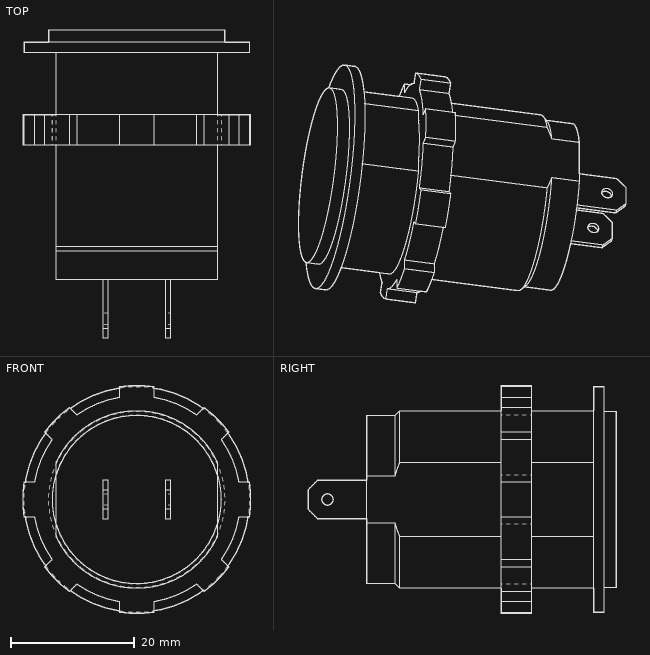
import cadquery as cq


OVERALL_LENGTH = 50.0
RIM_DEPTH = 2.0
FLANGE_THICKNESS = 1.7
BODY_LENGTH = 36.8
NOSE_LENGTH = 4.6
TERMINAL_LENGTH = OVERALL_LENGTH - RIM_DEPTH - FLANGE_THICKNESS - BODY_LENGTH

RIM_RADIUS = 14.3
FLANGE_RADIUS = 18.3
BODY_RADIUS = 14.4
NOSE_RADIUS = 13.65
FLAT_WIDTH = 26.2
SHOULDER = BODY_RADIUS - NOSE_RADIUS

BLADE_THICKNESS = 0.85
BLADE_HEIGHT = 6.25
BLADE_SPACING = 10.1
BLADE_CORNER = 1.55
BLADE_HOLE_DIAMETER = 1.8
BLADE_HOLE_SETBACK = 3.15

NUT_THICKNESS = 4.95
NUT_SETBACK = 10.05
NUT_BORE_RADIUS = 13.7
NUT_ROOT_RADIUS = 16.8
NUT_LOBE_RADIUS = 18.5
LOBE_WIDTH = 5.65
LOBE_COUNT = 8


def disc(radius, front_y, length):
    """Cylinder on the Y axis that runs from front_y toward -Y."""
    return cq.Workplane("XZ", origin=(0, front_y, 0)).circle(radius).extrude(length)


def make_body():
    """Barrel with a nut seat, a bevelled shoulder, a nose and two side flats."""
    nose_y = NOSE_LENGTH - BODY_LENGTH
    nut_front_y = -NUT_SETBACK
    nut_back_y = nut_front_y - NUT_THICKNESS
    barrel = (
        cq.Workplane("XY")
        .lineTo(BODY_RADIUS, 0)
        .lineTo(BODY_RADIUS, nut_front_y)
        .lineTo(NUT_BORE_RADIUS, nut_front_y)
        .lineTo(NUT_BORE_RADIUS, nut_back_y)
        .lineTo(BODY_RADIUS, nut_back_y)
        .lineTo(BODY_RADIUS, nose_y + SHOULDER)
        .lineTo(NOSE_RADIUS, nose_y)
        .lineTo(NOSE_RADIUS, -BODY_LENGTH)
        .lineTo(0, -BODY_LENGTH)
        .close()
        .revolve(360, (0, 0, 0), (0, 1, 0))
    )
    between_flats = cq.Workplane("XZ").rect(FLAT_WIDTH, 2 * BODY_RADIUS).extrude(BODY_LENGTH)
    return barrel.intersect(between_flats)


def make_blade(center_x):
    """Flat terminal with two clipped tip corners and a cross hole."""
    tip_y = -BODY_LENGTH - TERMINAL_LENGTH
    blade = (
        cq.Workplane("XY")
        .box(BLADE_THICKNESS, TERMINAL_LENGTH, BLADE_HEIGHT, centered=(True, False, True))
        .faces("<Y")
        .edges("|X")
        .chamfer(BLADE_CORNER)
        .translate((center_x, tip_y, 0))
    )
    hole = (
        cq.Workplane("YZ", origin=(center_x, tip_y + BLADE_HOLE_SETBACK, 0))
        .circle(BLADE_HOLE_DIAMETER / 2)
        .extrude(BLADE_THICKNESS, both=True)
    )
    return blade.cut(hole)


def make_housing():
    """Rim, flange, body and both terminal blades as one solid."""
    rim = disc(RIM_RADIUS, FLANGE_THICKNESS + RIM_DEPTH, RIM_DEPTH)
    flange = disc(FLANGE_RADIUS, FLANGE_THICKNESS, FLANGE_THICKNESS)
    housing = rim.union(flange).union(make_body())
    for side in (-1, 1):
        housing = housing.union(make_blade(side * BLADE_SPACING / 2))
    return housing


def make_nut():
    """Ring with evenly spaced grip lobes and a round bore on the body's nut seat."""
    nut = disc(NUT_ROOT_RADIUS, -NUT_SETBACK, NUT_THICKNESS)
    bar = (
        cq.Workplane("XZ", origin=(0, -NUT_SETBACK, 0))
        .rect(LOBE_WIDTH, 2 * NUT_LOBE_RADIUS)
        .extrude(NUT_THICKNESS)
    )
    lobe_pair = bar.intersect(disc(NUT_LOBE_RADIUS, -NUT_SETBACK, NUT_THICKNESS))
    for index in range(LOBE_COUNT // 2):
        angle = index * 360 / LOBE_COUNT
        nut = nut.union(lobe_pair.rotate((0, 0, 0), (0, 1, 0), angle))
    return nut.cut(disc(NUT_BORE_RADIUS, -NUT_SETBACK, NUT_THICKNESS))


housing = make_housing()
nut = make_nut()

result = cq.Compound.makeCompound([housing.val(), nut.val()])